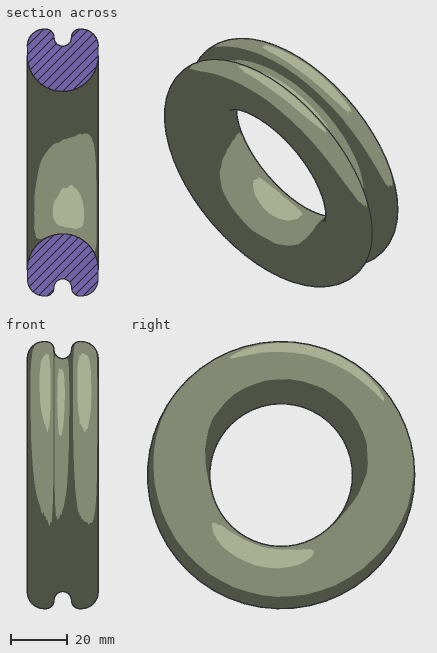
import cadquery as cq
import math

width = 25.0
outer_radius = 47.0
bore_round = width / 2
bore_radius = 25.0
rim_round = 6.0
groove_radius = 3.0
lip_round = groove_radius

half_width = width / 2
bore_edge = bore_radius + bore_round
rim_edge = outer_radius - rim_round
lip_edge = outer_radius - lip_round
diagonal = math.sqrt(0.5)

rim_x = half_width - rim_round
lip_x = groove_radius + lip_round


def rounded_corner(center_x, center_y, radius, side):
    """Middle point of a quarter-round corner on the given side (+1 or -1) in X."""
    return (center_x + side * radius * diagonal, center_y + radius * diagonal)


profile = (
    cq.Workplane("XY")
    .moveTo(-half_width, bore_edge)
    .lineTo(-half_width, rim_edge)
    .threePointArc(rounded_corner(-rim_x, rim_edge, rim_round, -1), (-rim_x, outer_radius))
    .lineTo(-lip_x, outer_radius)
    .threePointArc(rounded_corner(-lip_x, lip_edge, lip_round, 1), (-groove_radius, lip_edge))
    .threePointArc((0, lip_edge - groove_radius), (groove_radius, lip_edge))
    .threePointArc(rounded_corner(lip_x, lip_edge, lip_round, -1), (lip_x, outer_radius))
    .lineTo(rim_x, outer_radius)
    .threePointArc(rounded_corner(rim_x, rim_edge, rim_round, 1), (half_width, rim_edge))
    .lineTo(half_width, bore_edge)
    .threePointArc((0, bore_radius), (-half_width, bore_edge))
    .close()
)

result = profile.revolve(360, (0, 0, 0), (1, 0, 0))